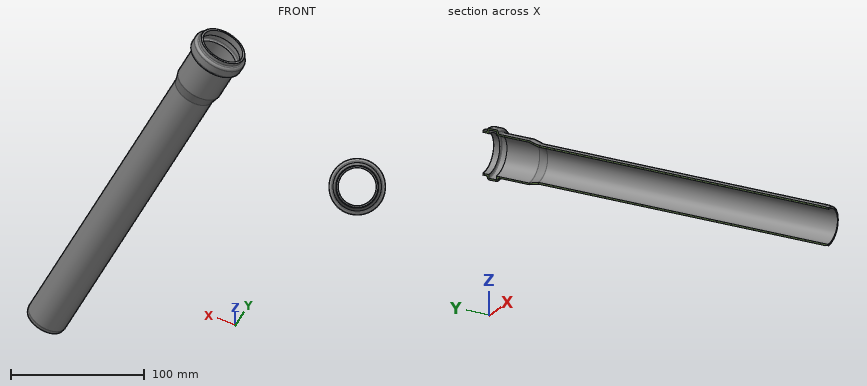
import cadquery as cq
import math

length = 295.0
pipe_diameter = 32.2
pipe_bore = 28.3
socket_diameter = 36.3
socket_bore = 32.7
lip_diameter = 36.5
lip_bore = 33.0
bead_diameter = 42.5
groove_diameter = 39.0
bead_round = 2.0
bead_root_round = 0.83
spigot_chamfer_length = 3.0
spigot_chamfer_depth = 0.5

lip_length = 3.5
bead_end = 13.3
socket_length = 39.5
transition_end = 47.5

spigot_y = -length / 2
mouth_y = length / 2
lip_y = mouth_y - lip_length
bead_y = mouth_y - bead_end
socket_y = mouth_y - socket_length
pipe_end_y = mouth_y - transition_end

wall = (bead_diameter - groove_diameter) / 2
groove_round = bead_round - wall


def revolved_profile(chamfer_depth, pipe, socket, bead, lip, bead_inset, corner):
    """Solid of revolution about Y; the diameters run from the spigot to the mouth."""
    pipe_r, socket_r, bead_r, lip_r = pipe / 2, socket / 2, bead / 2, lip / 2
    bead_start = bead_y + bead_inset
    bead_stop = lip_y - bead_inset
    flat_r = bead_r - corner
    diagonal = corner * math.sqrt(0.5)
    return (
        cq.Workplane("XY")
        .moveTo(0, spigot_y)
        .lineTo(pipe_r - chamfer_depth, spigot_y)
        .lineTo(pipe_r, spigot_y + spigot_chamfer_length)
        .lineTo(pipe_r, pipe_end_y)
        .lineTo(socket_r, socket_y)
        .lineTo(socket_r, bead_start)
        .lineTo(flat_r, bead_start)
        .threePointArc(
            (flat_r + diagonal, bead_start + corner - diagonal),
            (bead_r, bead_start + corner),
        )
        .lineTo(bead_r, bead_stop - corner)
        .threePointArc(
            (flat_r + diagonal, bead_stop - corner + diagonal),
            (flat_r, bead_stop),
        )
        .lineTo(lip_r, bead_stop)
        .lineTo(lip_r, mouth_y)
        .lineTo(0, mouth_y)
        .close()
        .revolve(360, (0, 0, 0), (0, 1, 0))
    )


outside = revolved_profile(
    spigot_chamfer_depth, pipe_diameter, socket_diameter, bead_diameter, lip_diameter,
    bead_inset=0, corner=bead_round,
)

for root_diameter, root_y in ((socket_diameter, bead_y), (lip_diameter, lip_y)):
    reach = root_diameter / 2 + bead_root_round / 2
    slab = bead_root_round / 2
    root_edge = cq.selectors.BoxSelector(
        (-reach, root_y - slab, -reach), (reach, root_y + slab, reach), boundingbox=True
    )
    outside = outside.edges(root_edge).fillet(bead_root_round)

bore = revolved_profile(
    0, pipe_bore, socket_bore, groove_diameter, lip_bore,
    bead_inset=wall, corner=groove_round,
)

result = outside.cut(bore)